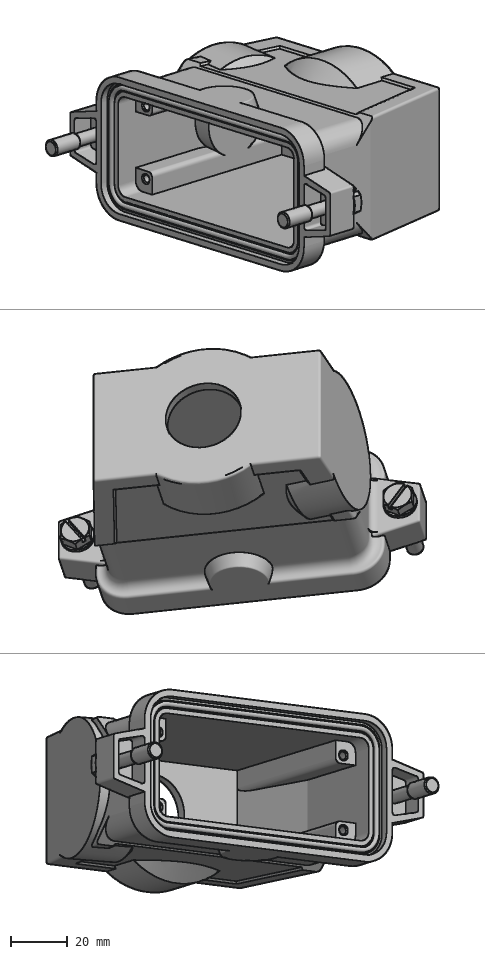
import cadquery as cq
import math


FLANGE_HALF_X = 51.75
FLANGE_HALF_Z = 26.5
FLANGE_CORNER_R = 11.5
FLANGE_TOP_Y = 10.7
FLANGE_EDGE_R = 1.0

BODY_HALF_X = 46.8
BODY_HALF_Z = 21.4
BODY_CORNER_R = 7.0
BODY_TOP_Y = 38.1
BODY_ROOT_R = 3.5

TOP_Y = 80.0
END_SLOPE = 10.0
BLOCK_HALF_Z = 22.9
BLOCK_BOTTOM_Y = 30.0
BLOCK_EDGE_R = 1.0
PANEL_HALF_Z = 22.1
PANEL_TOP_Y = 73.2
FRAME_WIDTH_X = 7.1

ENTRY_BOSS_R = 28.5
ENTRY_BOSS_BOTTOM_Y = 60.0
ENTRY_HOLE_D = 27.0

SIDE_BOSS_R = 25.0
SIDE_BOSS_CENTER_Y = 55.4
SIDE_BOSS_LENGTH = 17.8
SIDE_BOSS_NOSE = 3.0
SIDE_BOSS_STANDOUT_X = 2.5
SIDE_PLUG_R = 13.5

SEAT_INSET = 2.45
SEAT_DEPTH = 3.0
BEAD_INSET = 4.7
BEAD_R = 1.0
BEAD_GROOVE_HALF_WIDTH = 1.4
BEAD_GROOVE_DEPTH = 0.6
CAVITY_INSET = 8.0
CAVITY_SLOPE_Y = 43.0
CAVITY_TOP_Y = 76.0
CAVITY_TOP_HALF_X = 35.5

POST_INNER_Z = 10.4
POST_END_Y = 11.6
POST_EDGE_R = 1.8
POST_HOLE_X = 38.7
POST_HOLE_Z = 13.4
POST_HOLE_D = 2.8
POST_HOLE_MOUTH_D = 3.8
POST_HOLE_DEPTH = 12.0

PAD_CENTER_Y = 12.0
PAD_ROOT_R = 12.2
PAD_FACE_R = 10.5
PAD_EDGE_R = 0.5

EAR_TIP_X = 64.75
EAR_TIP_HALF_Z = 8.0
EAR_ROOT_HALF_Z = 11.4
EAR_BOTTOM_Y = 0.0
EAR_TOP_Y = 12.2
EAR_EDGE_R = 0.8
EAR_ROOT_R = 2.7
EAR_ROOT_FILLET_HALF_Z = 10.9
EAR_WALL = 2.2
EAR_POCKET_TIP_HALF_Z = 6.3
EAR_POCKET_ROOT_HALF_Z = 8.8
EAR_POCKET_CORNER_R = 1.0
EAR_ROOF = 4.0

SCREW_X = 57.75
SCREW_NECK_D = 4.8
SCREW_THREAD_D = 6.0
SCREW_THREAD_TOP_Y = -4.4
SCREW_END_Y = -16.6
SCREW_TIP_CHAMFER = 0.5
WASHER_R = 6.0
WASHER_HEIGHT = 1.2
HEX_ACROSS_FLATS = 10.2
HEX_HEIGHT = 4.2
HEX_CORNER_CHAMFER = 0.9
HEX_CORNER_CHAMFER_HEIGHT = 0.5
SLOT_WIDTH = 1.2
SLOT_DEPTH = 2.0
SLOT_ANGLE = 55.0
HEX_HALF_SECTOR = 30.0

SLOPE_TAN = math.tan(math.radians(END_SLOPE))
BEVEL_ANGLE = 45
OVERLAP = 1.0


def at_height(y):
    """Workplane facing +Y at the given height."""
    return cq.Workplane(cq.Plane(origin=(0, y, 0), xDir=(1, 0, 0), normal=(0, 1, 0)))


def rounded_block(half_x, half_z, corner_r, y0, y1):
    block = at_height(y0).rect(2 * half_x, 2 * half_z).extrude(y1 - y0)
    return block.edges("|Y").fillet(corner_r)


def inset_block(inset, y0, y1):
    """Block whose outline is the flange outline moved inwards."""
    return rounded_block(
        FLANGE_HALF_X - inset, FLANGE_HALF_Z - inset, FLANGE_CORNER_R - inset, y0, y1
    )


def box_between(x0, x1, y0, y1, z0, z1):
    box = cq.Workplane("XY").box(x1 - x0, y1 - y0, z1 - z0, centered=False)
    return box.translate((x0, y0, z0))


def mirrored_pair(shape, plane):
    return shape.union(shape.mirror(plane))


def end_x(y):
    """Half length of the upper block at height y."""
    return BODY_HALF_X - (y - BODY_TOP_Y) * SLOPE_TAN


def side_boss_axis():
    """Centre of the side entry face and the direction of its axis into the hood."""
    slope = math.radians(END_SLOPE)
    center = cq.Vector(-end_x(SIDE_BOSS_CENTER_Y) - SIDE_BOSS_STANDOUT_X, SIDE_BOSS_CENTER_Y, 0)
    return center, cq.Vector(math.cos(slope), -math.sin(slope), 0)


def side_cylinder(radius, length):
    center, direction = side_boss_axis()
    plane = cq.Plane(origin=center, xDir=(0, 0, 1), normal=direction)
    return cq.Workplane(plane).circle(radius).extrude(length)


def flange_and_body():
    flange = inset_block(0, 0, FLANGE_TOP_Y).faces(">Y").edges().fillet(FLANGE_EDGE_R)
    body = rounded_block(BODY_HALF_X, BODY_HALF_Z, BODY_CORNER_R, 0, BODY_TOP_Y)
    margin = FLANGE_EDGE_R / 2
    root_zone = cq.selectors.BoxSelector(
        (-BODY_HALF_X - margin, FLANGE_TOP_Y - margin, -BODY_HALF_Z - margin),
        (BODY_HALF_X + margin, FLANGE_TOP_Y + margin, BODY_HALF_Z + margin),
    )
    return flange.union(body).edges(root_zone).fillet(BODY_ROOT_R)


def upper_block():
    center, inward = side_boss_axis()
    step_foot = center + inward * (SIDE_BOSS_STANDOUT_X * inward.x)
    outline = [
        (-BODY_HALF_X, BLOCK_BOTTOM_Y),
        (BODY_HALF_X, BLOCK_BOTTOM_Y),
        (BODY_HALF_X, BODY_TOP_Y),
        (end_x(TOP_Y), TOP_Y),
        (-end_x(TOP_Y) - SIDE_BOSS_STANDOUT_X, TOP_Y),
        (center.x, center.y),
        (step_foot.x, step_foot.y),
        (-BODY_HALF_X, BODY_TOP_Y),
    ]
    block = cq.Workplane("XY").polyline(outline).close().extrude(BLOCK_HALF_Z, both=True)
    end_edges = block.faces("<Z or >Z").edges("not(|X or |Y)")
    end_edges = end_edges.filter(lambda edge: edge.Length() > 2 * SIDE_BOSS_STANDOUT_X)
    block = end_edges.add(block.faces(">Y").edges()).fillet(BLOCK_EDGE_R)

    underside_y = BODY_TOP_Y + BLOCK_HALF_Z - BODY_HALF_Z
    foot_z = BLOCK_HALF_Z - (underside_y - BLOCK_BOTTOM_Y)
    side_profile = [
        (BLOCK_BOTTOM_Y, -foot_z),
        (BLOCK_BOTTOM_Y, foot_z),
        (underside_y, BLOCK_HALF_Z),
        (TOP_Y, BLOCK_HALF_Z),
        (TOP_Y, -BLOCK_HALF_Z),
        (underside_y, -BLOCK_HALF_Z),
    ]
    envelope = cq.Workplane("YZ").polyline(side_profile).close()
    block = block.intersect(envelope.extrude(2 * BODY_HALF_X, both=True))
    return block.cut(mirrored_pair(panel_recess(), "XY"))


def panel_recess():
    """Shallow panel with 45 degree walls, open towards the lower body."""
    bottom_y = BLOCK_BOTTOM_Y
    bottom_x = end_x(bottom_y) - FRAME_WIDTH_X
    top_x = end_x(PANEL_TOP_Y) - FRAME_WIDTH_X
    outline = [
        (-bottom_x, bottom_y),
        (bottom_x, bottom_y),
        (top_x, PANEL_TOP_Y),
        (-top_x, PANEL_TOP_Y),
    ]
    face = cq.Workplane("XY").workplane(offset=BLOCK_HALF_Z).polyline(outline).close()
    return face.extrude(PANEL_HALF_Z - BLOCK_HALF_Z, taper=BEVEL_ANGLE)


def entry_boss():
    nose = ENTRY_BOSS_R - PANEL_HALF_Z
    boss = at_height(ENTRY_BOSS_BOTTOM_Y - nose).circle(ENTRY_BOSS_R)
    boss = boss.extrude(TOP_Y - ENTRY_BOSS_BOTTOM_Y + nose)
    boss = boss.faces("<Y").chamfer(nose)
    return boss.faces(">Y").edges().fillet(BLOCK_EDGE_R)


def side_boss():
    """Cylinder of the side entry, kept below the rounded top edge of the block."""
    boss = side_cylinder(SIDE_BOSS_R, SIDE_BOSS_LENGTH + SIDE_BOSS_NOSE)
    boss = boss.faces(">X").chamfer(SIDE_BOSS_NOSE)
    top_edge = box_between(
        -EAR_TIP_X, EAR_TIP_X, TOP_Y - 2 * BLOCK_EDGE_R, TOP_Y + OVERLAP, -SIDE_BOSS_R, SIDE_BOSS_R
    )
    return boss.cut(top_edge)


def side_pad():
    """Drafted half-round pad, flush with the flange side."""
    rise = FLANGE_HALF_Z - BODY_HALF_Z
    draft = math.degrees(math.atan((PAD_ROOT_R - PAD_FACE_R) / rise))
    pad = cq.Workplane("XY").workplane(offset=BODY_HALF_Z).center(0, PAD_CENTER_Y)
    pad = pad.circle(PAD_ROOT_R).extrude(rise, taper=draft)
    pad = pad.faces(">Z").edges().fillet(PAD_EDGE_R)
    flange_zone = box_between(
        -PAD_ROOT_R, PAD_ROOT_R, -PAD_ROOT_R, FLANGE_TOP_Y - FLANGE_EDGE_R, 0, FLANGE_HALF_Z
    )
    return pad.cut(flange_zone)


def cavity():
    half_x = FLANGE_HALF_X - CAVITY_INSET
    outline = [
        (-half_x, 0),
        (half_x, 0),
        (half_x, CAVITY_SLOPE_Y),
        (CAVITY_TOP_HALF_X, CAVITY_TOP_Y),
        (-CAVITY_TOP_HALF_X, CAVITY_TOP_Y),
        (-half_x, CAVITY_SLOPE_Y),
    ]
    sloped = cq.Workplane("XY").polyline(outline).close().extrude(FLANGE_HALF_Z, both=True)
    hollow = inset_block(CAVITY_INSET, 0, CAVITY_TOP_Y).intersect(sloped)
    return hollow.cut(screw_posts()).cut(side_plug())


def screw_posts():
    post = box_between(
        CAVITY_TOP_HALF_X, BODY_HALF_X, POST_END_Y, CAVITY_TOP_Y, POST_INNER_Z, BODY_HALF_Z
    )
    post = post.edges("|Y and <X and <Z").fillet(POST_EDGE_R)
    hole = at_height(POST_END_Y).center(POST_HOLE_X, -POST_HOLE_Z)
    hole = hole.circle(POST_HOLE_D / 2).extrude(POST_HOLE_DEPTH)
    mouth_depth = (POST_HOLE_MOUTH_D - POST_HOLE_D) / 2
    mouth = at_height(POST_END_Y).center(POST_HOLE_X, -POST_HOLE_Z)
    mouth = mouth.circle(POST_HOLE_MOUTH_D / 2).extrude(mouth_depth, taper=BEVEL_ANGLE)
    return mirrored_pair(mirrored_pair(post.cut(hole).cut(mouth), "XY"), "YZ")


def side_plug():
    """Inner end of the blanked side entry, trimmed flush with the screw posts."""
    plug = side_cylinder(SIDE_PLUG_R, SIDE_BOSS_LENGTH)
    return plug.intersect(
        box_between(-EAR_TIP_X, -CAVITY_TOP_HALF_X, 0, TOP_Y, -BODY_HALF_Z, BODY_HALF_Z)
    )


def seal_seat():
    """Recess in the rim with a round sealing bead lying in a groove of its floor."""
    seat = inset_block(SEAT_INSET, 0, SEAT_DEPTH)
    floor_y = SEAT_DEPTH + BEAD_GROOVE_DEPTH
    groove = inset_block(BEAD_INSET - BEAD_GROOVE_HALF_WIDTH, 0, floor_y)
    groove = groove.cut(inset_block(BEAD_INSET + BEAD_GROOVE_HALF_WIDTH, 0, floor_y))
    path = inset_block(BEAD_INSET, SEAT_DEPTH, CAVITY_TOP_Y).faces("<Y").wires()
    section = cq.Workplane("YZ").center(SEAT_DEPTH, FLANGE_HALF_Z - BEAD_INSET)
    bead = section.circle(BEAD_R).sweep(path)
    return seat.union(groove).cut(bead)


def ear_prism(root_x, root_half_z, tip_x, tip_half_z, y0, y1):
    outline = [(root_x, -root_half_z), (tip_x, -tip_half_z), (tip_x, tip_half_z), (root_x, root_half_z)]
    return at_height(y0).polyline(outline).close().extrude(y1 - y0)


def ear():
    side_taper = (EAR_ROOT_HALF_Z - EAR_TIP_HALF_Z) / (EAR_TIP_X - FLANGE_HALF_X)
    inner_x = BODY_HALF_X - OVERLAP
    inner_half_z = EAR_ROOT_HALF_Z + side_taper * (FLANGE_HALF_X - inner_x)
    body = ear_prism(inner_x, inner_half_z, EAR_TIP_X, EAR_TIP_HALF_Z, EAR_BOTTOM_Y, EAR_TOP_Y)
    body = body.edges("|Y and >X").fillet(EAR_EDGE_R)
    body = body.faces(">Y").edges("not <X").fillet(EAR_EDGE_R)
    pocket = ear_prism(
        FLANGE_HALF_X, EAR_POCKET_ROOT_HALF_Z, EAR_TIP_X - EAR_WALL, EAR_POCKET_TIP_HALF_Z,
        EAR_BOTTOM_Y, EAR_TOP_Y - EAR_ROOF,
    )
    pocket = pocket.edges("|Y").fillet(EAR_POCKET_CORNER_R)

    mid = EAR_ROOT_R * (1 - math.cos(math.radians(BEVEL_ANGLE)))
    blend = (
        cq.Workplane("XY")
        .moveTo(inner_x, EAR_TOP_Y)
        .lineTo(BODY_HALF_X + EAR_ROOT_R, EAR_TOP_Y)
        .threePointArc(
            (BODY_HALF_X + mid, EAR_TOP_Y + mid), (BODY_HALF_X, EAR_TOP_Y + EAR_ROOT_R)
        )
        .lineTo(inner_x, EAR_TOP_Y + EAR_ROOT_R)
        .close()
        .extrude(EAR_ROOT_FILLET_HALF_Z, both=True)
    )
    return body.cut(pocket).union(blend)


def screw():
    neck = at_height(SCREW_THREAD_TOP_Y).circle(SCREW_NECK_D / 2).extrude(EAR_TOP_Y - SCREW_THREAD_TOP_Y)
    thread = at_height(SCREW_END_Y).circle(SCREW_THREAD_D / 2).extrude(SCREW_THREAD_TOP_Y - SCREW_END_Y)
    thread = thread.faces("<Y or >Y").edges().chamfer(SCREW_TIP_CHAMFER)
    washer = at_height(EAR_TOP_Y).circle(WASHER_R).extrude(WASHER_HEIGHT)
    hex_bottom_y = EAR_TOP_Y + WASHER_HEIGHT
    hex_top_y = hex_bottom_y + HEX_HEIGHT
    corner_r = HEX_ACROSS_FLATS / 2 / math.cos(math.radians(HEX_HALF_SECTOR))
    head = at_height(hex_bottom_y).polygon(6, 2 * corner_r).extrude(HEX_HEIGHT)
    head = head.rotate((0, 0, 0), (0, 1, 0), HEX_HALF_SECTOR)
    chamfered_blank = at_height(hex_bottom_y).circle(corner_r).extrude(HEX_HEIGHT)
    chamfered_blank = chamfered_blank.faces(">Y").chamfer(HEX_CORNER_CHAMFER_HEIGHT, HEX_CORNER_CHAMFER)
    head = head.intersect(chamfered_blank)
    slot = at_height(hex_top_y).rect(4 * WASHER_R, SLOT_WIDTH).extrude(-SLOT_DEPTH)
    slot = slot.rotate((0, 0, 0), (0, 1, 0), -SLOT_ANGLE)
    return neck.union(thread).union(washer).union(head.cut(slot)).translate((SCREW_X, 0, 0))


hood = flange_and_body().union(upper_block()).union(entry_boss()).union(side_boss())
hood = hood.union(mirrored_pair(side_pad(), "XY"))
hood = hood.union(mirrored_pair(ear(), "YZ"))
hood = hood.cut(cavity()).cut(seal_seat())
hood = hood.cut(at_height(ENTRY_BOSS_BOTTOM_Y).circle(ENTRY_HOLE_D / 2).extrude(TOP_Y))
result = hood.union(mirrored_pair(screw(), "YZ"))